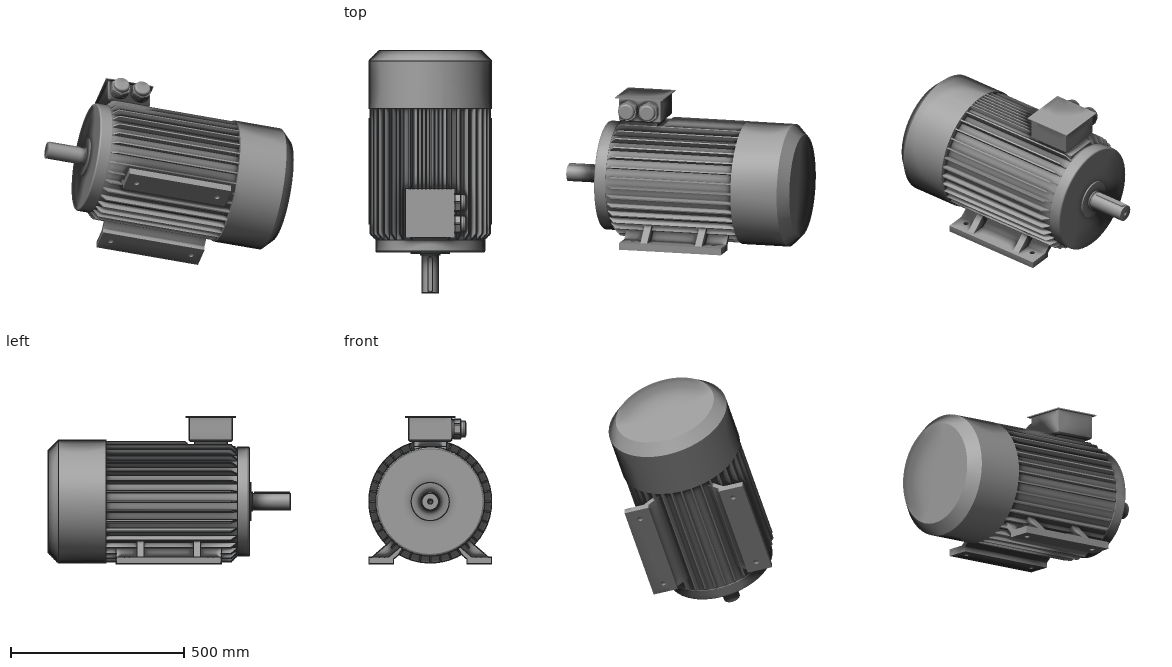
import math

import cadquery as cq


axis_height = 180.0
total_height = 426.0
total_width = 355.0
overall_length = 700.0

shaft_diameter = 48.0
shaft_length = 110.0
key_width = 14.0
key_length = 102.0
key_gap = 5.5
key_top = 27.5
key_depth = 9.0
center_hole_diameter = 13.84
center_hole_mouth = 15.0
center_hole_depth = 36.0
drill_point_angle = 118.0

collar_diameter = 55.0
cap_diameter = 110.0
cap_front = 4.0
shield_diameter = 315.0
shield_front = 8.0
shield_back = 43.0
shield_fillet = 5.0

frame_diameter = 310.0
fin_tip_radius = 174.0
fin_thickness = 4.0
fin_embedment = 5.0
fin_pitch_angle = 10
fin_front = 45.5
fin_chamfer = 15.5
top_fin_angle = 70
cowl_front = 422.0
cowl_back = overall_length - shaft_length
cowl_chamfer = 30.0

upright_fin_thickness = 3.0
upright_fin_pitch = 12.0
upright_fins_per_side = 3
upright_fin_front = 177.0
upright_fin_chamfer = 18.0

foot_length = 304.0
foot_thickness = 20.0
foot_width = 72.0
foot_inner_wall = 14.0
foot_slope = math.radians(41)
foot_web_start = 57.5
foot_rib_start = 10.0
foot_rise = 65.0
foot_rib_width = 20.0
foot_rib_spacing = 163.0
foot_hole_diameter = 15.0
foot_hole_spacing_x = 279.0
foot_hole_spacing_y = 241.0
foot_hole_first = 121.0

box_center_y = 120.0
box_size = 125.0
box_bottom = 173.0
box_chamfer = 5.0
lid_size = 142.0
lid_thickness = 3.0
neck_size = 95.0
pad_front = 50.0
pad_bottom = 140.0
pad_top = 159.5

gland_spacing = 62.0
gland_z = 209.6
flange_diameter = 54.0
flange_length = 6.0
hex_flats = 51.0
hex_corners = 56.5
hex_length = 18.5
ring_diameter = 53.0
ring_length = 2.0
gland_cap_diameter = 47.09
gland_cap_length = 13.5
gland_cap_fillet = 6.0

frame_radius = frame_diameter / 2
fin_root_radius = frame_radius - fin_embedment
box_top = total_height - axis_height
foot_center_y = foot_hole_first + foot_hole_spacing_y / 2


def cylinder_y(diameter, y_start, y_end):
    """Solid cylinder on the motor axis between two Y positions."""
    plane = cq.Workplane("XZ", origin=(0, y_start, 0))
    return plane.circle(diameter / 2).extrude(y_start - y_end)


def box_between(size_x, y_start, y_end, z_bottom, z_top):
    """Block centred on X = 0 between two Y and two Z positions."""
    block = cq.Workplane("XY").box(
        size_x, y_end - y_start, z_top - z_bottom, centered=(True, False, False)
    )
    return block.translate((0, y_start, z_bottom))


def make_housing():
    """Frame cylinder, end shield, bearing cap, collar and fan cowl."""
    shield = cylinder_y(shield_diameter, shield_front, shield_back)
    shield = shield.faces("<Y").edges().fillet(shield_fillet)
    cowl = cylinder_y(total_width, cowl_front, cowl_back)
    cowl = cowl.faces(">Y").chamfer(cowl_chamfer)
    frame = cylinder_y(frame_diameter, shield_back, cowl_front)
    cap = cylinder_y(cap_diameter, cap_front, shield_front)
    collar = cylinder_y(collar_diameter, 0, cap_front)
    return frame.union(shield).union(cowl).union(cap).union(collar)


def make_fin(thickness, front, chamfer):
    """One fin standing on top of the frame, chamfered at its front tip."""
    outline = [
        (front, fin_root_radius),
        (front, fin_tip_radius - chamfer),
        (front + chamfer, fin_tip_radius),
        (cowl_front, fin_tip_radius),
        (cowl_front, fin_root_radius),
    ]
    plane = cq.Workplane("YZ")
    return plane.polyline(outline).close().extrude(thickness / 2, both=True)


def add_fins(body):
    """Radial fins all round except the top, where the fins stand upright."""
    radial_fin = make_fin(fin_thickness, fin_front, fin_chamfer)
    open_half_angle = 90 - top_fin_angle
    for angle in range(open_half_angle, 360 - open_half_angle + 1, fin_pitch_angle):
        body = body.union(radial_fin.rotate((0, 0, 0), (0, 1, 0), angle))
    upright_fin = make_fin(upright_fin_thickness, upright_fin_front, upright_fin_chamfer)
    for index in range(-upright_fins_per_side, upright_fins_per_side + 1):
        body = body.union(upright_fin.translate((index * upright_fin_pitch, 0, 0)))
    return body


def foot_prism(outline, length, center_y):
    """Prism along Y with the given XZ outline."""
    plane = cq.Workplane("XZ", origin=(0, center_y, 0))
    return plane.polyline(outline).close().extrude(length / 2, both=True)


def make_foot():
    """Right-hand foot: base plate, sloping web, two ribs and two bolt holes."""
    outer = total_width / 2
    inner = outer - foot_width
    bottom = -axis_height
    plate_top = bottom + foot_thickness
    run = foot_rise / math.tan(foot_slope)
    web_x = outer - foot_web_start
    rib_x = outer - foot_rib_start
    web_outline = [
        (inner, bottom),
        (outer, bottom),
        (outer, plate_top),
        (web_x, plate_top),
        (web_x - run, plate_top + foot_rise),
        (inner - run, bottom + foot_inner_wall + foot_rise),
        (inner, bottom + foot_inner_wall),
    ]
    rib_outline = [
        (web_x, plate_top),
        (rib_x, plate_top),
        (rib_x - run, plate_top + foot_rise),
        (web_x - run, plate_top + foot_rise),
    ]
    foot = foot_prism(web_outline, foot_length, foot_center_y)
    for side in (-1, 1):
        rib_y = foot_center_y + side * foot_rib_spacing / 2
        foot = foot.union(foot_prism(rib_outline, foot_rib_width, rib_y))
    for side in (-1, 1):
        hole_y = foot_center_y + side * foot_hole_spacing_y / 2
        hole = cq.Workplane("XY", origin=(foot_hole_spacing_x / 2, hole_y, bottom))
        foot = foot.cut(hole.circle(foot_hole_diameter / 2).extrude(foot_thickness))
    return foot


def make_terminal_box():
    """Flat pad along the frame, neck, box with chamfered bottom edges and flat lid."""
    pad = box_between(neck_size, pad_front, cowl_front, pad_bottom, pad_top)
    neck_front = box_center_y - neck_size / 2
    neck = box_between(neck_size, neck_front, neck_front + neck_size, pad_top, box_bottom)
    box_front = box_center_y - box_size / 2
    lid_bottom = box_top - lid_thickness
    box = box_between(box_size, box_front, box_front + box_size, box_bottom, lid_bottom)
    box = box.faces("<Z").chamfer(box_chamfer)
    lid_front = box_center_y - lid_size / 2
    lid = box_between(lid_size, lid_front, lid_front + lid_size, lid_bottom, box_top)
    return pad.union(neck).union(box).union(lid)


def make_gland(center_y):
    """Cable gland: round flange, hexagon with trimmed corners, ring, rounded cap."""
    wall = cq.Workplane("YZ", origin=(box_size / 2, center_y, gland_z))
    flange = wall.circle(flange_diameter / 2).extrude(flange_length)
    nut = wall.workplane(offset=flange_length)
    hexagon = nut.polygon(6, hex_flats, circumscribed=True)
    hexagon = hexagon.extrude(hex_length)
    envelope = nut.circle(hex_corners / 2).extrude(hex_length)
    ring = wall.workplane(offset=flange_length + hex_length)
    ring = ring.circle(ring_diameter / 2).extrude(ring_length)
    cap = wall.workplane(offset=flange_length + hex_length + ring_length)
    cap = cap.circle(gland_cap_diameter / 2).extrude(gland_cap_length)
    cap = cap.faces(">X").edges().fillet(gland_cap_fillet)
    return flange.union(hexagon.intersect(envelope)).union(ring).union(cap)


def make_shaft():
    """Shaft end with a round-ended key on top and a drilled centre hole."""
    shaft = cylinder_y(shaft_diameter, -shaft_length, 0)
    key_plane = cq.Workplane("XY", origin=(0, -key_gap - key_length / 2, key_top - key_depth))
    key = key_plane.slot2D(key_length, key_width, 90).extrude(key_depth)
    radius = center_hole_diameter / 2
    mouth_radius = center_hole_mouth / 2
    end = -shaft_length
    bottom = end + center_hole_depth
    tip = bottom + radius / math.tan(math.radians(drill_point_angle / 2))
    hole_outline = [
        (0, end),
        (mouth_radius, end),
        (radius, end + mouth_radius - radius),
        (radius, bottom),
        (0, tip),
    ]
    hole = cq.Workplane("XY").polyline(hole_outline).close()
    hole = hole.revolve(360, (0, 0, 0), (0, 1, 0))
    return shaft.union(key).cut(hole)


motor = add_fins(make_housing())
right_foot = make_foot()
motor = motor.union(right_foot).union(right_foot.mirror("YZ"))
motor = motor.union(make_terminal_box())
for gland_side in (-1, 1):
    motor = motor.union(make_gland(box_center_y + gland_side * gland_spacing / 2))
result = motor.union(make_shaft())